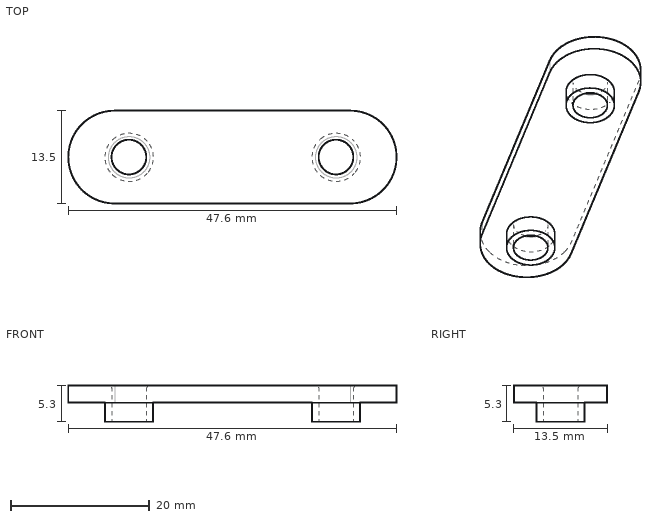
import cadquery as cq
import math

plate_length = 47.6
plate_width = 13.5
plate_thickness = 2.5

hole_spacing = 30.0
boss_diameter = 7.0
boss_height = 2.8
hole_diameter = 5.0
hole_edge_radius = 0.5

total_height = plate_thickness + boss_height
hole_centres = [(-hole_spacing / 2, 0), (hole_spacing / 2, 0)]


def make_plate():
    """Rounded plate standing on top of the boss height."""
    return (
        cq.Workplane("XY")
        .workplane(offset=boss_height)
        .slot2D(plate_length, plate_width)
        .extrude(plate_thickness)
    )


def make_bosses():
    """Round bosses reaching from Z = 0 to the top of the plate."""
    return (
        cq.Workplane("XY")
        .pushPoints(hole_centres)
        .circle(boss_diameter / 2)
        .extrude(total_height)
    )


def make_hole_cutter(centre):
    """Through hole that flares tangentially into the top face with a rounded edge."""
    hole_radius = hole_diameter / 2
    round_start = total_height - hole_edge_radius
    arc_offset = hole_edge_radius * (1 - math.cos(math.pi / 4))
    profile = (
        cq.Workplane("XZ")
        .lineTo(hole_radius, 0)
        .lineTo(hole_radius, round_start)
        .threePointArc(
            (hole_radius + arc_offset, total_height - arc_offset),
            (hole_radius + hole_edge_radius, total_height),
        )
        .lineTo(0, total_height)
        .close()
    )
    cutter = profile.revolve(360, (0, 0, 0), (0, 1, 0))
    return cutter.translate((*centre, 0))


result = make_plate().union(make_bosses())
for hole_centre in hole_centres:
    result = result.cut(make_hole_cutter(hole_centre))